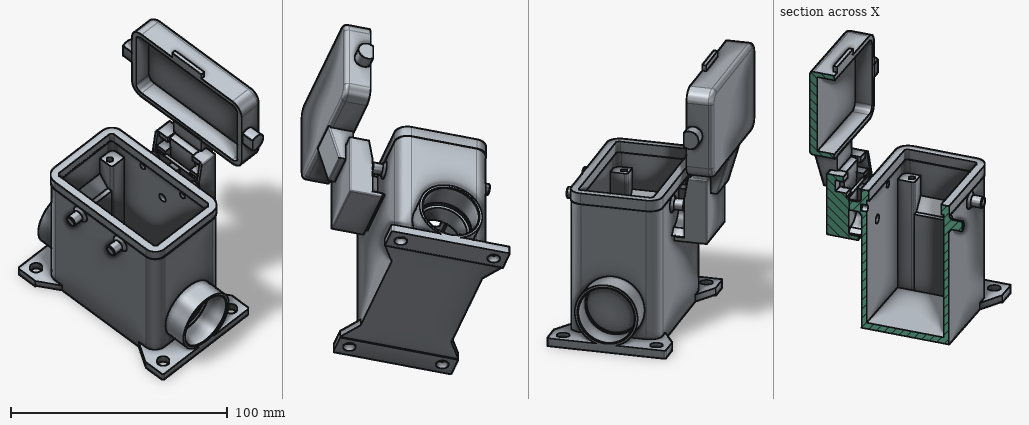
import cadquery as cq

body_length = 70.6
body_width = 43.7
body_corner = 6.2
body_bottom = 0.5
body_top = 73.0

rim_length = 71.3
rim_width = 44.0
rim_height = 5.4
rim_bottom = body_top - rim_height

cavity_length = 64.4
cavity_width = 38.2
cavity_corner = 3.0
cavity_floor = 4.0
mouth_length = 63.3
mouth_width = 35.9
mouth_corner = 1.6

foot_reach = 46.8
foot_width = 57.0
foot_height = 4.0
foot_shoulder = 35.5
foot_inner = 24.6
foot_corner = 0.9
foot_hole_x = 41.0
foot_hole_y = 22.4
foot_hole_diameter = 5.8

spout_z = 18.3
spout_radius = 15.1
spout_bore_radius = 13.5
spout_mouth_chamfer = 0.4
spout_seat_radius = 13.1
spout_seat_depth = 1.3
entry_radius = 11.5

post_inner_x = 24.5
post_inner_y = 10.7
post_top = 60.3
post_corner = 1.5
post_hole_x = 28.5
post_hole_y = 13.5
post_hole_diameter = 3.0
post_hole_depth = 13.2

end_block_top = 43.7
end_block_slope_height = 6.1
end_block_slope_length = 5.2

peg_x = 12.9
peg_z = 63.5
peg_radius = 2.6
peg_base_radius = 4.2
peg_base_length = 1.3
peg_chamfer = 0.4
peg_end_front = 28.5
peg_hole_diameter = 3.2
peg_hole_depth = 2.9

mount_face = 28.1
mount_top = 67.2
mount_bottom = 48.0
mount_web_half = 2.6
mount_arc_top = 59.2
mount_arc_radius = 8.2
mount_half_width = 13.9
mount_hole_z = 51.7
mount_hole_diameter = 4.2
mount_hole_depth = 6.6

lid_length = 70.6
lid_bottom = 86.0
lid_top = 129.6
lid_front = 35.1
lid_back = 47.7
lid_corner = 6.1
lid_back_round = 2.1
lid_wall = 2.6
lid_pocket_depth = 8.5

tab_width = 19.0
tab_thickness = 2.0
tab_top = 132.5

ear_pin_reach = 41.7
ear_pin_radius = 4.4
ear_pin_y = 38.5
ear_pin_z = 107.7
ear_pin_flat_y = 35.8

arm_width = 17.8
arm_front = 35.5
arm_end_back = 42.4
arm_end_z = 69.0
arm_back_round = 0.7

hinge_width = 29.8
hinge_back = 39.1
hinge_top_front = 29.8
hinge_bottom = 45.8
hinge_top = 77.8
hinge_lip_front = 23.3
hinge_round = 0.5

bar_top_front = 76.6
bar_top_back = 77.2
bar_undercut = 1.0
hinge_slot_width = 15.9
hinge_slot_back = 32.0
hinge_sill_z = 67.5
hinge_sill_back = 30.0
hinge_slot_bottom = 59.6

ear_wall = 1.5
ear_roof_front = 30.6
ear_roof = 2.9
ear_ledge_front = 29.2
ear_ledge_z = 69.4
ear_pocket_depth = 4.0


def upright_box(length, width, z_low, z_high, corner):
    """Box centred on the Z axis with rounded vertical edges."""
    block = cq.Workplane("XY").workplane(offset=z_low).rect(length, width).extrude(z_high - z_low)
    return block.edges("|Z").fillet(corner)


def box_between(x_low, x_high, y_low, y_high, z_low, z_high):
    """Plain box given by its limits."""
    size = (x_high - x_low, y_high - y_low, z_high - z_low)
    return cq.Workplane("XY").box(*size, centered=False).translate((x_low, y_low, z_low))


def both_ends(shape):
    """The shape together with its mirror image across the YZ plane."""
    return shape.union(shape.mirror("YZ"))


def y_cylinder(radius, x, z, y_start, length):
    """Cylinder running from y_start towards +Y."""
    return cq.Workplane(cq.Solid.makeCylinder(radius, length, cq.Vector(x, y_start, z), cq.Vector(0, 1, 0)))


def feet():
    """Flared mounting foot at each end, with two screw holes."""
    half = foot_width / 2
    outline = [
        (0, body_width / 2),
        (foot_inner, body_width / 2),
        (foot_shoulder, half),
        (foot_reach, half),
        (foot_reach, -half),
        (foot_shoulder, -half),
        (foot_inner, -body_width / 2),
        (0, -body_width / 2),
    ]
    foot = cq.Workplane("XY").polyline(outline).close().extrude(foot_height)
    foot = foot.edges("|Z and >X").fillet(foot_corner)
    holes = [(foot_hole_x, foot_hole_y), (foot_hole_x, -foot_hole_y)]
    screw_holes = cq.Workplane("XY").pushPoints(holes).circle(foot_hole_diameter / 2).extrude(foot_height)
    underside = box_between(0, foot_shoulder, -half, half, 0, body_bottom)
    return both_ends(foot.cut(screw_holes).cut(underside))


def spouts():
    """Solid cable spout through the lower body, reaching both ends."""
    return (
        cq.Workplane("YZ")
        .workplane(offset=-foot_reach)
        .center(0, spout_z)
        .circle(spout_radius)
        .extrude(2 * foot_reach)
    )


def spout_bores():
    """Chamfered bore of each spout, with a shallow seat sunk into the body wall."""
    bore_depth = foot_reach - body_length / 2
    bore = cq.Workplane("YZ").workplane(offset=body_length / 2).center(0, spout_z)
    bore = bore.circle(spout_bore_radius).extrude(bore_depth)
    seat = cq.Workplane("YZ").workplane(offset=body_length / 2 - spout_seat_depth).center(0, spout_z)
    seat = seat.circle(spout_seat_radius).extrude(spout_seat_depth)
    chamfer = cq.Workplane(
        cq.Solid.makeCone(
            spout_bore_radius,
            spout_bore_radius + spout_mouth_chamfer,
            spout_mouth_chamfer,
            cq.Vector(foot_reach - spout_mouth_chamfer, 0, spout_z),
            cq.Vector(1, 0, 0),
        )
    )
    return both_ends(bore.union(seat).union(chamfer))


def cable_entry():
    """Hole from the -X spout into the cavity."""
    entry = cq.Workplane("YZ").workplane(offset=-foot_reach).center(0, spout_z)
    return entry.circle(entry_radius).extrude(foot_reach)


def cavity():
    """Main cavity under a slightly narrower, sharper-cornered mouth."""
    lower = upright_box(cavity_length, cavity_width, cavity_floor, rim_bottom, cavity_corner)
    mouth = upright_box(mouth_length, mouth_width, cavity_floor, body_top, mouth_corner)
    return lower.union(mouth)


def posts():
    """Four corner posts with screw holes, standing on the cavity floor."""
    x_out = cavity_length / 2
    y_out = cavity_width / 2
    post = box_between(post_inner_x, x_out, post_inner_y, y_out, cavity_floor, post_top)
    post = post.edges("|Z and <X and <Y").fillet(post_corner)
    hole = cq.Workplane("XY").workplane(offset=post_top - post_hole_depth).center(post_hole_x, post_hole_y)
    post = post.cut(hole.circle(post_hole_diameter / 2).extrude(post_hole_depth))
    pair = both_ends(post)
    return pair.union(pair.mirror("XZ"))


def end_blocks():
    """Block between the posts at each end, its top sloping up to the wall."""
    x_out = cavity_length / 2
    outline = [
        (x_out, cavity_floor),
        (post_inner_x, cavity_floor),
        (post_inner_x, end_block_top),
        (x_out - end_block_slope_length, end_block_top),
        (x_out, end_block_top + end_block_slope_height),
    ]
    block = cq.Workplane("XZ").polyline(outline).close().extrude(post_inner_y, both=True)
    return both_ends(block)


def peg(x, direction, end):
    """Locking peg with a conical base on the front (-1) or back (+1) wall."""
    wall = body_width / 2
    axis = cq.Vector(0, direction, 0)
    shaft = cq.Workplane(
        cq.Solid.makeCylinder(peg_radius, end - wall, cq.Vector(x, direction * wall, peg_z), axis)
    )
    shaft = shaft.faces(">Y" if direction > 0 else "<Y").chamfer(peg_chamfer)
    base = cq.Workplane(
        cq.Solid.makeCone(
            peg_base_radius, peg_radius, peg_base_length, cq.Vector(x, direction * wall, peg_z), axis
        )
    )
    return shaft.union(base)


def hinge_mount():
    """Pad on the back wall: a narrow web that flares out to a wide foot."""
    wall = body_width / 2
    half = (
        cq.Workplane("XZ", origin=(0, mount_face, 0))
        .moveTo(0, mount_top)
        .lineTo(mount_web_half, mount_top)
        .lineTo(mount_web_half, mount_arc_top)
        .radiusArc((mount_web_half + mount_arc_radius, mount_arc_top - mount_arc_radius), -mount_arc_radius)
        .lineTo(mount_half_width, mount_bottom)
        .lineTo(0, mount_bottom)
        .close()
        .extrude(mount_face - wall)
    )
    return both_ends(half)


def build_housing():
    housing = upright_box(body_length, body_width, body_bottom, body_top, body_corner)
    housing = housing.union(upright_box(rim_length, rim_width, rim_bottom, body_top, body_corner))
    housing = housing.union(feet()).union(spouts())
    housing = housing.cut(cavity()).cut(spout_bores())
    housing = housing.union(posts()).union(end_blocks()).cut(cable_entry())
    housing = housing.union(hinge_mount())
    inner_wall = cavity_width / 2
    for x in (-peg_x, peg_x):
        housing = housing.union(peg(x, -1, peg_end_front)).union(peg(x, 1, mount_face))
        housing = housing.cut(y_cylinder(peg_hole_diameter / 2, x, peg_z, inner_wall, peg_hole_depth))
    return housing.cut(
        y_cylinder(mount_hole_diameter / 2, 0, mount_hole_z, inner_wall, mount_hole_depth)
    )


def lid_block(inset, y_low, y_high):
    """Rounded rectangular plate of the lid, inset evenly from its outline."""
    half = lid_length / 2 - inset
    plate = box_between(-half, half, y_low, y_high, lid_bottom + inset, lid_top - inset)
    return plate.edges("|Y").fillet(lid_corner - inset)


def lid():
    """Open-fronted lid with its top tab and two side pins."""
    shell = lid_block(0, lid_front, lid_back).faces(">Y").edges().fillet(lid_back_round)
    pin = (
        cq.Workplane("YZ")
        .workplane(offset=-ear_pin_reach)
        .center(ear_pin_y, ear_pin_z)
        .circle(ear_pin_radius)
        .extrude(2 * ear_pin_reach)
    )
    pin = pin.cut(
        box_between(
            -ear_pin_reach,
            ear_pin_reach,
            ear_pin_y - ear_pin_radius,
            ear_pin_flat_y,
            ear_pin_z - ear_pin_radius,
            ear_pin_z + ear_pin_radius,
        )
    )
    pocket = lid_block(lid_wall, lid_front, lid_front + lid_pocket_depth)
    tab = box_between(
        -tab_width / 2,
        tab_width / 2,
        lid_front,
        lid_front + tab_thickness,
        lid_top - lid_wall,
        tab_top,
    )
    return shell.union(pin).cut(pocket).union(tab)


def arm():
    """Tapering hinge arm below the lid."""
    outline = [
        (arm_front, lid_bottom + lid_wall / 2),
        (arm_front, arm_end_z),
        (arm_end_back, arm_end_z),
        (lid_back, lid_bottom + lid_back_round / 2),
        (lid_back - lid_back_round, lid_bottom + lid_wall / 2),
    ]
    link = cq.Workplane("YZ").workplane(offset=-arm_width / 2).polyline(outline).close().extrude(arm_width)
    return link.faces(">(0, 4, -1)").edges().fillet(arm_back_round)


def hinge():
    """Hinge block with a lip under the mount, a front slot, a pivot bar and two ear pockets."""
    half = hinge_width / 2
    outline = [
        (hinge_back, hinge_bottom),
        (hinge_back, hinge_top),
        (hinge_top_front, hinge_top),
        (mount_face, mount_top),
        (mount_face, mount_bottom),
        (hinge_lip_front, mount_bottom),
        (hinge_lip_front, hinge_bottom),
    ]
    block = cq.Workplane("YZ").workplane(offset=-half).polyline(outline).close().extrude(hinge_width)
    block = block.faces(">Y or >Z or <Z").edges().fillet(hinge_round)

    slot_half = hinge_slot_width / 2
    slot_profile = [
        (mount_face, hinge_sill_z),
        (hinge_sill_back, hinge_sill_z),
        (hinge_sill_back, hinge_slot_bottom),
        (hinge_slot_back + bar_undercut, hinge_slot_bottom),
        (hinge_slot_back, bar_top_front),
        (arm_front, bar_top_back),
        (arm_front, hinge_top),
        (mount_face, hinge_top),
    ]
    slot = cq.Workplane("YZ").workplane(offset=-slot_half).polyline(slot_profile).close()
    block = block.cut(slot.extrude(hinge_slot_width))

    ear_outer = half - ear_wall
    ear_front = box_between(slot_half, ear_outer, mount_face, ear_ledge_front, mount_top, hinge_top)
    ear_pocket = box_between(
        slot_half,
        ear_outer,
        ear_ledge_front,
        ear_roof_front + ear_pocket_depth,
        ear_ledge_z,
        hinge_top - ear_roof,
    )
    ear_top = box_between(slot_half, ear_outer, ear_ledge_front, ear_roof_front, ear_ledge_z, hinge_top)
    return block.cut(both_ends(ear_front.union(ear_pocket).union(ear_top)))


def build_cover():
    return lid().union(arm()).union(hinge())


housing = build_housing()
cover = build_cover()

result = cq.Compound.makeCompound([housing.val(), cover.val()])